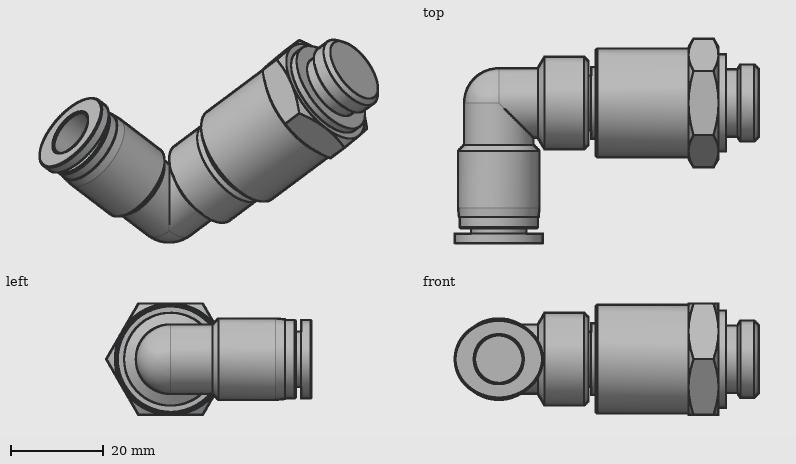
import cadquery as cq
import math


elbow_radius = 15.0 / 2
collar_radius = 20.0 / 2
collar_cone_start = 8.4
collar_cone_angle = 60.0
collar_end = 19.35
collar_chamfer = 1.0
collar_cone_length = (collar_radius - elbow_radius) / math.tan(math.radians(collar_cone_angle))

socket_radius = 17.6 / 2
socket_cone_start = 9.0
socket_taper_start = 22.6
socket_taper_end = 24.6
socket_taper_end_radius = 17.2 / 2
socket_rim_radius = 16.9 / 2
socket_rim_end = 27.0
socket_rim_chamfer = 0.3
socket_cone_length = socket_radius - elbow_radius

ring_face = 30.3
ring_flange_thickness = 2.2
ring_flange_width = 19.0
ring_flange_height = 16.9
ring_flange_chamfer = 0.2
ring_sleeve_radius = 12.0 / 2
ring_bore_radius = 10.2 / 2
ring_bore_chamfer = 0.3
ring_bore_depth = 5.65
ring_inner_end = ring_face - ring_bore_depth

spindle_neck_radius = 11.9 / 2
spindle_flange_radius = 15.5 / 2
spindle_flange_start = 19.9
spindle_end = 20.85

housing_radius = 23.5 / 2
housing_chamfer = 0.4
hex_start = 40.85
hex_end = 47.3
hex_across_flats = 24.0
hex_chamfer_angle = 60.0
seat_radius = 21.0 / 2
seat_end = 48.95
thread_radius = 16.66 / 2
thread_root_radius = 14.6 / 2
thread_start = 51.4
thread_start_cone_angle = 60.0
thread_end = 55.99
thread_end_chamfer = thread_radius - thread_root_radius
thread_start_cone_length = thread_end_chamfer / math.tan(math.radians(thread_start_cone_angle))
hex_corner_radius = hex_across_flats / 2 / math.cos(math.pi / 6)


def turned_on_x(profile):
    """Revolve (x, radius) points about the X axis, closing the outline along the axis."""
    outline = [(profile[0][0], 0), *profile, (profile[-1][0], 0)]
    return cq.Workplane("XY").polyline(outline).close().revolve(360, (0, 0, 0), (1, 0, 0))


def turned_on_tube_axis(profile):
    """Revolve (distance along -Y, radius) points about the Y axis."""
    outline = [(0, -profile[0][0])]
    outline += [(radius, -distance) for distance, radius in profile]
    outline += [(0, -profile[-1][0])]
    return cq.Workplane("XY").polyline(outline).close().revolve(360, (0, 0, 0), (0, 1, 0))


def make_elbow():
    spindle_arm = turned_on_x([
        (0, elbow_radius),
        (collar_cone_start, elbow_radius),
        (collar_cone_start + collar_cone_length, collar_radius),
        (collar_end - collar_chamfer, collar_radius),
        (collar_end, collar_radius - collar_chamfer),
    ])
    tube_arm = turned_on_tube_axis([
        (0, elbow_radius),
        (socket_cone_start, elbow_radius),
        (socket_cone_start + socket_cone_length, socket_radius),
        (socket_taper_start, socket_radius),
        (socket_taper_end, socket_taper_end_radius),
        (socket_taper_end, socket_rim_radius),
        (socket_rim_end - socket_rim_chamfer, socket_rim_radius),
        (socket_rim_end, socket_rim_radius - socket_rim_chamfer),
    ])
    bend = cq.Workplane("XY").sphere(elbow_radius)
    ring_recess = turned_on_tube_axis([
        (ring_inner_end, ring_sleeve_radius),
        (socket_rim_end, ring_sleeve_radius),
    ])
    return spindle_arm.union(tube_arm).union(bend).cut(ring_recess)


def make_release_ring():
    """Oval flange on a round sleeve, bored through."""
    flange = (
        cq.Workplane("XZ", origin=(0, ring_flange_thickness - ring_face, 0))
        .ellipse(ring_flange_width / 2, ring_flange_height / 2)
        .extrude(ring_flange_thickness)
        .faces("<Y")
        .chamfer(ring_flange_chamfer)
    )
    sleeve = turned_on_tube_axis([
        (ring_inner_end, ring_sleeve_radius),
        (ring_face - ring_flange_thickness, ring_sleeve_radius),
    ])
    bore = turned_on_tube_axis([
        (ring_inner_end, ring_bore_radius),
        (ring_face - ring_bore_chamfer, ring_bore_radius),
        (ring_face, ring_bore_radius + ring_bore_chamfer),
    ])
    return flange.union(sleeve).cut(bore)


def make_spindle():
    """Neck and flange that fill the gap between the elbow collar and the housing."""
    return turned_on_x([
        (collar_end, spindle_neck_radius),
        (spindle_flange_start, spindle_neck_radius),
        (spindle_flange_start, spindle_flange_radius),
        (spindle_end, spindle_flange_radius),
    ])


def make_hex():
    """Hexagon with flats facing +Z and -Z and corners chamfered at both ends."""
    prism = (
        cq.Workplane("YZ", origin=(hex_start, 0, 0))
        .polygon(6, 2 * hex_corner_radius)
        .extrude(hex_end - hex_start)
    )
    flat_radius = hex_across_flats / 2
    chamfer_length = (hex_corner_radius - flat_radius) / math.tan(math.radians(hex_chamfer_angle))
    corner_envelope = turned_on_x([
        (hex_start, flat_radius),
        (hex_start + chamfer_length, hex_corner_radius),
        (hex_end - chamfer_length, hex_corner_radius),
        (hex_end, flat_radius),
    ])
    return prism.intersect(corner_envelope)


def make_housing():
    turned = turned_on_x([
        (spindle_end, housing_radius - housing_chamfer),
        (spindle_end + housing_chamfer, housing_radius),
        (hex_start, housing_radius),
        (hex_start, seat_radius),
        (seat_end, seat_radius),
        (seat_end, thread_root_radius),
        (thread_start, thread_root_radius),
        (thread_start + thread_start_cone_length, thread_radius),
        (thread_end - thread_end_chamfer, thread_radius),
        (thread_end, thread_root_radius),
    ])
    return turned.union(make_hex())


elbow = make_elbow()
release_ring = make_release_ring()
spindle = make_spindle()
housing = make_housing()

result = cq.Compound.makeCompound([
    elbow.solids().val(),
    release_ring.solids().val(),
    spindle.solids().val(),
    housing.solids().val(),
])